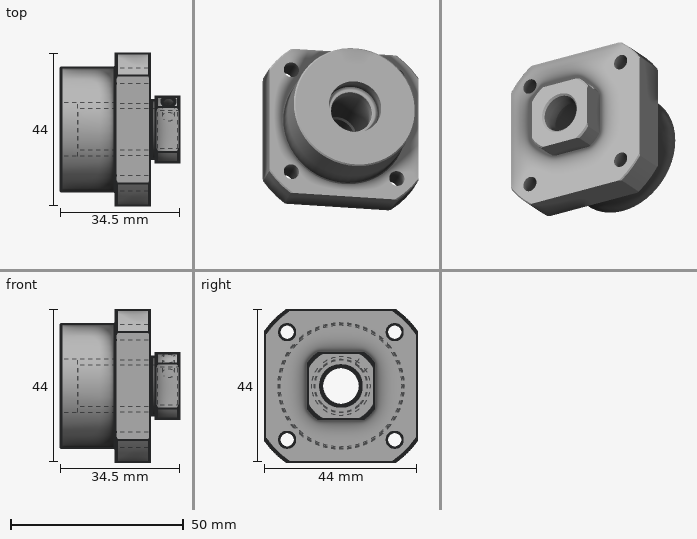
import cadquery as cq
import math


boss_diameter = 36.0
boss_edge_chamfer = 0.4
boss_root_chamfer = 0.3
flange_width = 44.0
flange_corner_diameter = 54.0
flange_corner_chamfer = 0.35
flange_front = 16.0
flange_thickness = 10.0
mounting_hole_spacing = 31.1
mounting_hole_diameter = 4.5

shaft_diameter = 12.0
bearing_diameter = 15.5
bearing_setback = 5.0
bearing_bore_chamfer = 0.15
collar_diameter = 15.0
collar_projection = 0.5
washer_diameter = 17.0
washer_thickness = 1.0

nut_width = 19.0
nut_corner_diameter = 23.0
nut_thickness = 7.0
nut_corner_chamfer = 0.5
nut_thread_diameter = 10.9
set_hole_diameter = 3.5
set_hole_mouth_diameter = 4.1
set_hole_offset = 3.8

flange_back = flange_front + flange_thickness
collar_back = flange_back + collar_projection
washer_back = collar_back + washer_thickness
nut_back = washer_back + nut_thickness


def cylinder(diameter, start, end):
    """Cylinder on the X axis between two X positions."""
    return cq.Workplane("YZ", origin=(start, 0, 0)).circle(diameter / 2).extrude(end - start)


def ring(outer_diameter, inner_diameter, start, end):
    """Plain ring on the X axis."""
    return cylinder(outer_diameter, start, end).cut(cylinder(inner_diameter, start, end))


def cone(start_diameter, end_diameter, start, end):
    """Truncated cone on the X axis."""
    profile = [
        (start, 0),
        (start, start_diameter / 2),
        (end, end_diameter / 2),
        (end, 0),
    ]
    return cq.Workplane("XY").polyline(profile).close().revolve(360, (0, 0, 0), (1, 0, 0))


def square_with_turned_corners(width, corner_diameter, chamfer, start, end):
    """Square block whose corners are cut by a chamfered cylinder."""
    length = end - start
    block = cq.Workplane("YZ", origin=(start, 0, 0)).rect(width, width).extrude(length)
    turning = cylinder(corner_diameter, start, end).edges().chamfer(chamfer)
    return block.intersect(turning)


def make_housing():
    boss = cylinder(boss_diameter, 0, flange_front).faces("<X").chamfer(boss_edge_chamfer)
    root = cone(
        boss_diameter,
        boss_diameter + 2 * boss_root_chamfer,
        flange_front - boss_root_chamfer,
        flange_front,
    )
    flange = square_with_turned_corners(
        flange_width, flange_corner_diameter, flange_corner_chamfer, flange_front, flange_back
    )
    mounting_holes = (
        cq.Workplane("YZ", origin=(flange_front, 0, 0))
        .rect(mounting_hole_spacing, mounting_hole_spacing, forConstruction=True)
        .vertices()
        .circle(mounting_hole_diameter / 2)
        .extrude(flange_thickness)
    )
    bearing_bore = cylinder(bearing_diameter, 0, flange_front)
    collar_bore = cylinder(collar_diameter, flange_front, flange_back)
    return (
        boss.union(root)
        .union(flange)
        .cut(mounting_holes)
        .cut(bearing_bore)
        .cut(collar_bore)
    )


def make_bearing_ring():
    mouth = cone(
        shaft_diameter + 2 * bearing_bore_chamfer,
        shaft_diameter,
        bearing_setback,
        bearing_setback + bearing_bore_chamfer,
    )
    return ring(bearing_diameter, shaft_diameter, bearing_setback, flange_front).cut(mouth)


def make_collar():
    return ring(collar_diameter, shaft_diameter, flange_front, collar_back)


def make_washer():
    return ring(washer_diameter, shaft_diameter, collar_back, washer_back)


def make_set_hole():
    """Countersunk radial hole from the +Y +Z corner of the nut to its thread."""
    outer_radius = nut_corner_diameter / 2
    mouth_depth = (set_hole_mouth_diameter - set_hole_diameter) / 2
    profile = [
        (0, 0),
        (set_hole_diameter / 2, 0),
        (set_hole_diameter / 2, outer_radius - mouth_depth),
        (set_hole_mouth_diameter / 2, outer_radius),
        (set_hole_mouth_diameter / 2, outer_radius + mouth_depth),
        (0, outer_radius + mouth_depth),
    ]
    corner_direction = cq.Vector(0, math.sqrt(0.5), math.sqrt(0.5))
    plane = cq.Plane(
        origin=(washer_back + set_hole_offset, 0, 0),
        xDir=(1, 0, 0),
        normal=cq.Vector(1, 0, 0).cross(corner_direction),
    )
    return cq.Workplane(plane).polyline(profile).close().revolve(360, (0, 0, 0), (0, 1, 0))


def make_nut():
    blank = square_with_turned_corners(
        nut_width, nut_corner_diameter, nut_corner_chamfer, washer_back, nut_back
    )
    thread_hole = cylinder(nut_thread_diameter, washer_back, nut_back)
    lead_in_depth = (shaft_diameter - nut_thread_diameter) / 2
    front_lead_in = cone(
        shaft_diameter, nut_thread_diameter, washer_back, washer_back + lead_in_depth
    )
    back_lead_in = cone(nut_thread_diameter, shaft_diameter, nut_back - lead_in_depth, nut_back)
    return blank.cut(thread_hole).cut(front_lead_in).cut(back_lead_in).cut(make_set_hole())


housing = make_housing()
bearing_ring = make_bearing_ring()
collar = make_collar()
washer = make_washer()
nut = make_nut()

result = cq.Compound.makeCompound(
    [housing.val(), bearing_ring.val(), collar.val(), washer.val(), nut.val()]
)